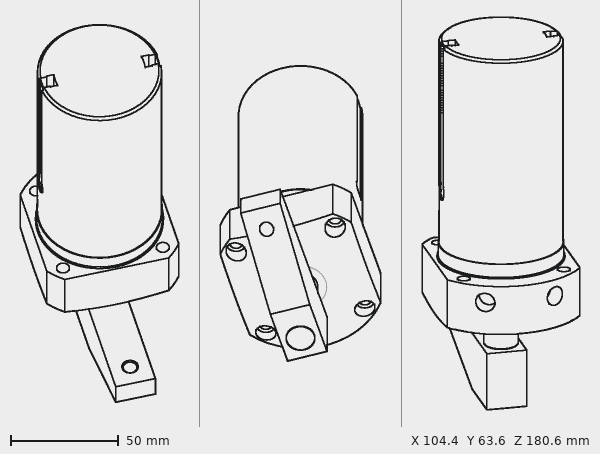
import cadquery as cq

total_height = 180.6
flange_top = 72.2
barrel_bottom = 79.3
cone_rim = 48.4
cone_tip = 41.7
arm_bottom = 0.5
arm_top = 28.5

barrel_radius = 28.9
barrel_chamfer = 1.3
collar_radius = 29.3
collar_flare = 0.5

flange_radius = 39.7
flange_half_width = 31.8
flange_right = 30.9
cone_tip_radius = 12.1

bolt_offset = 24.0
bolt_hole_diameter = 6.0
bolt_head_diameter = 9.4
bolt_head_seat = 54.2

port_angle = 25
port_diameter = 9
port_depth = 9
port_height = 64.1

groove_width = 7.0
groove_floor_radius = 28.2
slot_outer_radius = 27.8
slot_neck_width = 5.8
slot_inner_width = 6.7
slot_neck_radius = 24.5
slot_floor_radius = 21.3
slot_end_diameter = 9
slot_end_height = 107.6

rod_diameter = 16.0
rod_tip_diameter = 13.4
rod_shoulder_chamfer = 0.5

arm_left = -11.0
arm_right = 64.7
arm_width = 19.1
arm_slope_start = 16.8
arm_tip_thickness = 11.4
arm_hole_x = 54.7
arm_hole_diameter = 6.5
arm_hole_chamfer = 0.5


def cylinder(radius, bottom, top):
    """Upright cylinder on the Z axis between two levels."""
    return cq.Workplane("XY").workplane(offset=bottom).circle(radius).extrude(top - bottom)


def make_barrel():
    barrel = cylinder(barrel_radius, barrel_bottom, total_height).faces(">Z").chamfer(barrel_chamfer)
    collar = cylinder(collar_radius, flange_top, barrel_bottom)
    flare = (
        cq.Workplane("XY")
        .workplane(offset=flange_top)
        .circle(collar_radius + collar_flare)
        .workplane(offset=collar_flare)
        .circle(collar_radius)
        .loft()
    )
    return barrel.union(collar).union(flare)


def make_flange():
    """Round flange with a conical underside, cut flat on three sides."""
    round_flange = (
        cq.Workplane("XZ")
        .moveTo(0, cone_tip)
        .lineTo(cone_tip_radius, cone_tip)
        .lineTo(flange_radius, cone_rim)
        .lineTo(flange_radius, flange_top)
        .lineTo(0, flange_top)
        .close()
        .revolve(360, (0, 0, 0), (0, 1, 0))
    )
    flats = (
        cq.Workplane("XY")
        .center((flange_right - flange_radius) / 2, 0)
        .rect(flange_right + flange_radius, 2 * flange_half_width)
        .extrude(flange_top)
    )
    return round_flange.intersect(flats)


def make_bolt_holes():
    """Four through holes, counterbored from below."""
    corners = [(x, y) for x in (-bolt_offset, bolt_offset) for y in (-bolt_offset, bolt_offset)]
    holes = cq.Workplane("XY").pushPoints(corners).circle(bolt_hole_diameter / 2).extrude(flange_top)
    heads = cq.Workplane("XY").pushPoints(corners).circle(bolt_head_diameter / 2).extrude(bolt_head_seat)
    return holes.union(heads)


def make_port(angle):
    """Blind radial hole in the flange rim, turned by an angle from the -X axis."""
    return (
        cq.Workplane("YZ")
        .workplane(offset=-flange_radius)
        .center(0, port_height)
        .circle(port_diameter / 2)
        .extrude(port_depth)
        .rotate((0, 0, 0), (0, 0, 1), angle)
    )


def make_channel(width, outer_radius):
    """Straight channel from the axis toward -Y, open at the top."""
    length = total_height - slot_end_height
    return (
        cq.Workplane("XZ")
        .center(0, slot_end_height + length / 2)
        .rect(width, length)
        .extrude(outer_radius)
    )


def make_round_end():
    """Wider round lower end shared by the slot and its groove."""
    return cq.Workplane("XZ").center(0, slot_end_height).circle(slot_end_diameter / 2).extrude(collar_radius)


def make_groove():
    """Shallow keyhole groove on the -Y side of the barrel."""
    groove = make_channel(groove_width, collar_radius).union(make_round_end())
    return groove.cut(cylinder(groove_floor_radius, 0, total_height))


def make_slot():
    """T-slot behind the groove, closed toward the outside by a thin wall."""
    neck = make_channel(slot_neck_width, collar_radius)
    undercut = make_channel(slot_inner_width, slot_neck_radius)
    slot = neck.union(undercut).union(make_round_end())
    return slot.intersect(cylinder(slot_outer_radius, 0, total_height)).cut(
        cylinder(slot_floor_radius, 0, total_height)
    )


def make_rod():
    """Piston rod with a chamfered shoulder that seats on the arm."""
    shank = cylinder(rod_diameter / 2, arm_top, cone_tip).faces("<Z").chamfer(rod_shoulder_chamfer)
    tip = cylinder(rod_tip_diameter / 2, 0, arm_top)
    return shank.union(tip)


def make_housing():
    body = make_barrel().union(make_flange()).cut(make_bolt_holes())
    for angle in (-port_angle, port_angle):
        body = body.cut(make_port(angle))
    for cutter in (make_groove(), make_slot()):
        body = body.cut(cutter).cut(cutter.mirror("XZ"))
    return body.union(make_rod())


def make_arm():
    """Clamping arm with a sloped underside, bored for the rod."""
    arm = (
        cq.Workplane("XZ")
        .moveTo(arm_left, arm_top)
        .lineTo(arm_right, arm_top)
        .lineTo(arm_right, arm_top - arm_tip_thickness)
        .lineTo(arm_slope_start, arm_bottom)
        .lineTo(arm_left, arm_bottom)
        .close()
        .extrude(arm_width / 2, both=True)
    )
    tip_hole = cq.Workplane("XY").center(arm_hole_x, 0).circle(arm_hole_diameter / 2).extrude(arm_top)
    hole_mouth = (
        cq.Workplane("XY", origin=(arm_hole_x, 0, arm_top))
        .circle(arm_hole_diameter / 2 + arm_hole_chamfer)
        .workplane(offset=-arm_hole_chamfer)
        .circle(arm_hole_diameter / 2)
        .loft()
    )
    rod_bore = cylinder(rod_tip_diameter / 2, 0, arm_top)
    return arm.cut(tip_hole).cut(hole_mouth).cut(rod_bore)


housing = make_housing()
arm = make_arm()

result = cq.Compound.makeCompound([housing.val(), arm.val()])